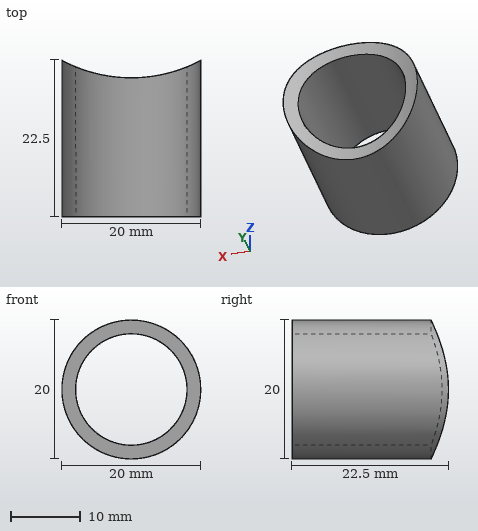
import cadquery as cq

outer_diameter = 20.0
wall_thickness = 2.0
length_at_saddle_bottom = 20.0
mating_pipe_diameter = 42.4

outer_radius = outer_diameter / 2
inner_radius = outer_radius - wall_thickness
mating_pipe_radius = mating_pipe_diameter / 2
mating_pipe_axis_y = length_at_saddle_bottom + mating_pipe_radius


def make_tube():
    """Tube from the flat end at Y = 0, long enough to reach the mating pipe axis."""
    return (
        cq.Workplane("XZ")
        .circle(outer_radius)
        .circle(inner_radius)
        .extrude(-mating_pipe_axis_y)
    )


def make_mating_pipe():
    """Solid cylinder parallel to Z that shapes the saddle, spanning the tube's height."""
    return (
        cq.Workplane("XY")
        .center(0, mating_pipe_axis_y)
        .circle(mating_pipe_radius)
        .extrude(outer_diameter, both=True)
    )


result = make_tube().cut(make_mating_pipe())